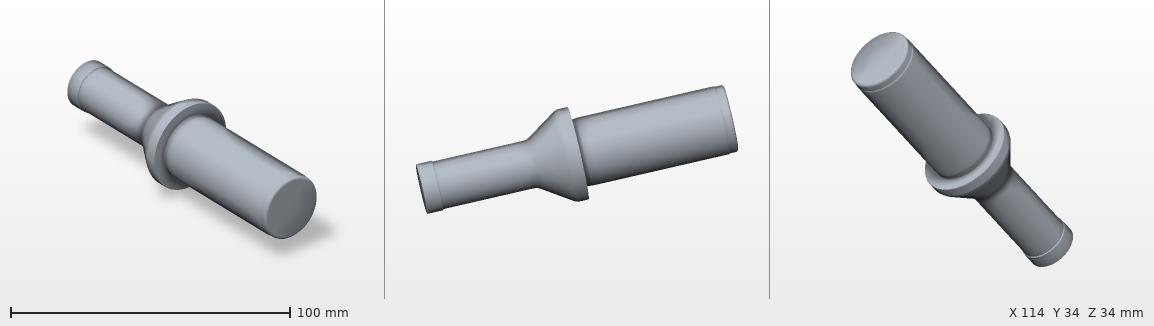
import cadquery as cq

overall_length = 114.0

head_diameter = 18.2
head_end = 6.2
head_chamfer = 0.2

lower_step_diameter = 10.6
upper_step_diameter = 8.0
step_height = 0.1
step_taper = 0.2

neck_diameter = 17.4
blend_start = 39.2
cone_start = 42.3
cone_start_diameter = 19.4

collar_diameter = 34.0
cone_end = 52.2
cone_end_diameter = 32.4
collar_start = 53.9
collar_end = 57.8
collar_back_chamfer_length = 0.3
collar_back_chamfer_height = 0.1

shank_diameter = 25.0
relief_diameter = 24.5
relief_fillet = 0.3
relief_end = 58.8
ramp_start = 59.2
ramp_start_diameter = 24.6
shank_start = 60.2
shank_end = 110.4
tail_start = 110.9
tail_fillet = 1.0


def make_head():
    """Chamfered disc with two low tapered steps on its front face."""
    head_radius = head_diameter / 2
    lower_radius = lower_step_diameter / 2
    upper_radius = upper_step_diameter / 2
    face_start = 2 * step_height
    profile = (
        cq.Workplane("XY")
        .lineTo(0, upper_radius - step_taper)
        .lineTo(step_height, upper_radius)
        .lineTo(step_height, lower_radius - step_taper)
        .lineTo(face_start, lower_radius)
        .lineTo(face_start, head_radius - head_chamfer)
        .lineTo(face_start + head_chamfer, head_radius)
        .lineTo(head_end - head_chamfer, head_radius)
        .lineTo(head_end, head_radius - head_chamfer)
        .lineTo(head_end, 0)
        .close()
    )
    return profile.revolve(360, (0, 0, 0), (1, 0, 0))


def make_holder():
    """Neck, cone, collar and shank turned about the X axis."""
    neck_radius = neck_diameter / 2
    collar_radius = collar_diameter / 2
    shank_radius = shank_diameter / 2
    relief_radius = relief_diameter / 2
    profile = (
        cq.Workplane("XY")
        .moveTo(head_end, 0)
        .lineTo(head_end, neck_radius)
        .lineTo(blend_start, neck_radius)
        .tangentArcPoint((cone_start, cone_start_diameter / 2), relative=False)
        .lineTo(cone_end, cone_end_diameter / 2)
        .tangentArcPoint((collar_start, collar_radius), relative=False)
        .lineTo(collar_end - collar_back_chamfer_length, collar_radius)
        .lineTo(collar_end, collar_radius - collar_back_chamfer_height)
        .lineTo(collar_end, relief_radius + relief_fillet)
        .tangentArcPoint((collar_end + relief_fillet, relief_radius), relative=False)
        .lineTo(relief_end, relief_radius)
        .tangentArcPoint((ramp_start, ramp_start_diameter / 2), relative=False)
        .lineTo(shank_start, shank_radius)
        .lineTo(shank_end, shank_radius)
        .lineTo(tail_start, relief_radius)
        .lineTo(overall_length - tail_fillet, relief_radius)
        .tangentArcPoint((overall_length, relief_radius - tail_fillet), relative=False)
        .lineTo(overall_length, 0)
        .close()
    )
    return profile.revolve(360, (0, 0, 0), (1, 0, 0))


head = make_head()
holder = make_holder()

result = cq.Compound.makeCompound([head.val(), holder.val()])